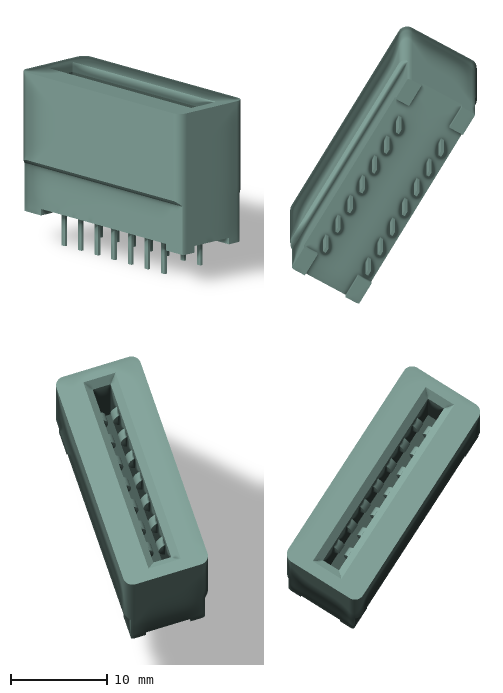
import cadquery as cq
import math

length = 24.38
width = 9.2
total_height = 18.3
pin_length = 3.12
corner_radius = 1.0
base_height = 5.2
side_step = 0.55
base_width = width - 2 * side_step
housing_height = total_height - pin_length

foot_height = 0.7
clearance_length = 19.1
clearance_width = 4.85

slot_length = 20.3
slot_width = 1.95
slot_depth = 9.26
mouth_bevel = 0.78

contacts_per_row = 7
row_length = 15.24
pitch = row_length / (contacts_per_row - 1)
contact_width = 0.98
contact_gap = 0.54
contact_radius = 1.7
contact_drop = 3.6
pin_row_offset = 2.54
pin_width = 0.54
pin_thickness = 0.32

contact_stations = [(i - (contacts_per_row - 1) / 2) * pitch for i in range(contacts_per_row)]


def make_housing():
    """Round-cornered block whose long sides step in, through a 45 degree slope, above the base."""
    block = (
        cq.Workplane("XY")
        .rect(length, width)
        .extrude(housing_height)
        .edges("|Z")
        .fillet(corner_radius)
    )
    half_width = width / 2
    half_base = base_width / 2
    side_profile = (
        cq.Workplane("YZ")
        .moveTo(-half_base, 0)
        .lineTo(half_base, 0)
        .lineTo(half_base, base_height)
        .lineTo(half_width, base_height + side_step)
        .lineTo(half_width, housing_height)
        .lineTo(-half_width, housing_height)
        .lineTo(-half_width, base_height + side_step)
        .lineTo(-half_base, base_height)
        .close()
        .extrude(length / 2, both=True)
    )
    return block.intersect(side_profile)


def make_clearance():
    """Crossing channels under the housing, one along each horizontal axis."""
    across = cq.Workplane("XY").rect(clearance_length, width).extrude(foot_height)
    along = cq.Workplane("XY").rect(length, clearance_width).extrude(foot_height)
    return across.union(along)


def make_slot():
    """Straight card slot with a 45 degree bevel all round its mouth."""
    top = cq.Workplane("XY").workplane(offset=housing_height)
    straight = top.rect(slot_length, slot_width).extrude(-slot_depth)
    mouth = (
        top.rect(slot_length + 2 * mouth_bevel, slot_width + 2 * mouth_bevel)
        .workplane(offset=-mouth_bevel)
        .rect(slot_length, slot_width)
        .loft(ruled=True)
    )
    return straight.union(mouth)


def make_contact(x, side):
    """Bowed contact bulging from one slot wall; side is +1 or -1 along Y."""
    wall = side * slot_width / 2
    tip = side * contact_gap / 2
    bulge = (slot_width - contact_gap) / 2
    half_chord = math.sqrt(contact_radius**2 - (contact_radius - bulge) ** 2)
    middle = housing_height - contact_drop
    return (
        cq.Workplane("YZ", origin=(x, 0, 0))
        .moveTo(wall, middle - half_chord)
        .threePointArc((tip, middle), (wall, middle + half_chord))
        .close()
        .extrude(contact_width / 2, both=True)
    )


def make_pin(x, side):
    """Straight solder pin hanging from the underside of the housing; side is +1 or -1 along Y."""
    return (
        cq.Workplane("XY", origin=(x, side * pin_row_offset, -pin_length))
        .rect(pin_width, pin_thickness)
        .extrude(pin_length + foot_height)
    )


result = make_housing().cut(make_clearance()).cut(make_slot())
for station in contact_stations:
    for row_side in (-1, 1):
        result = result.union(make_contact(station, row_side))
        result = result.union(make_pin(station, row_side))